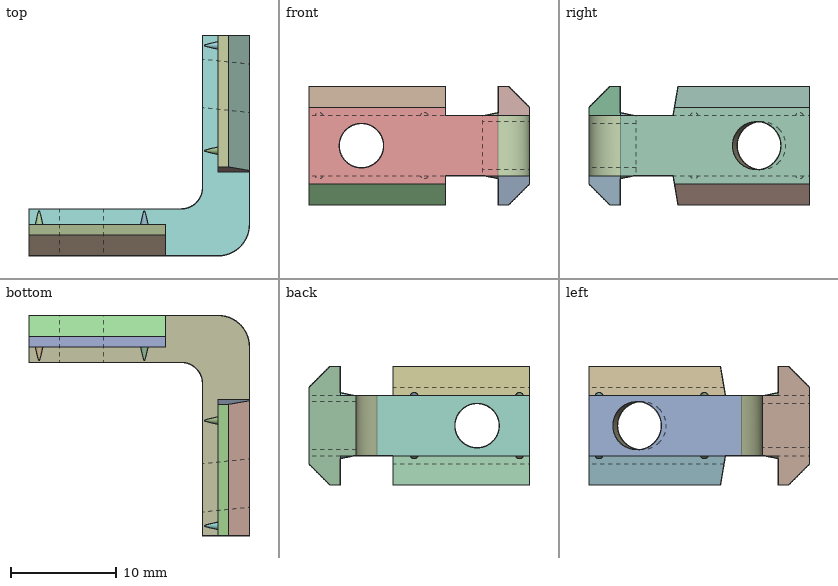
import cadquery as cq
import math

length = 21.0
height = 11.3
arm_thickness = 4.5
web_height = 5.75
inner_radius = 2.0
outer_radius = 3.0

flange_length = 13.0
flange_thickness = 3.0
flange_chamfer = 2.0
flange_draft_angle = 9.6

straight_hole_distance = 5.0
tilted_hole_distance = 5.05
straight_hole_diameter = 4.2
tilted_hole_diameter = 4.58
tilted_hole_shift = 0.46

tooth_radius = 0.38
tooth_tip_radius = 0.06
tooth_sink = 0.1
tooth_distances = (0.97, 10.98)

half_height = height / 2
half_web = web_height / 2
inner_x = length - arm_thickness
flange_step_x = length - flange_thickness
flange_end_y = length - flange_length


def make_web():
    """L-shaped plate with rounded inner and outer corners."""
    plate = (
        cq.Workplane("XY")
        .polyline([
            (0, 0), (length, 0), (length, length),
            (inner_x, length), (inner_x, arm_thickness), (0, arm_thickness),
        ])
        .close()
        .extrude(half_web, both=True)
    )
    plate = plate.edges(cq.NearestToPointSelector((inner_x, arm_thickness, 0))).fillet(inner_radius)
    return plate.edges(cq.NearestToPointSelector((length, 0, 0))).fillet(outer_radius)


def flange_profile(plane):
    """Chamfered section with its outer face at 0 and its inner face at flange_thickness."""
    chamfer_z = half_height - flange_chamfer
    return plane.polyline([
        (0, -chamfer_z), (flange_chamfer, -half_height), (flange_thickness, -half_height),
        (flange_thickness, half_height), (flange_chamfer, half_height), (0, chamfer_z),
    ]).close()


def make_x_flange():
    return flange_profile(cq.Workplane("YZ")).extrude(flange_length)


def make_y_flange():
    """Flange whose corner end leans back above and below the web."""
    end_plane = cq.Plane(origin=(length, length, 0), xDir=(-1, 0, 0), normal=(0, -1, 0))
    flange = flange_profile(cq.Workplane(end_plane)).extrude(flange_length)
    setback = (half_height - half_web) * math.tan(math.radians(flange_draft_angle))
    side_outline = (
        cq.Workplane("YZ", origin=(flange_step_x, 0, 0))
        .polyline([
            (length, -half_height), (flange_end_y + setback, -half_height),
            (flange_end_y, -half_web), (flange_end_y, half_web),
            (flange_end_y + setback, half_height), (length, half_height),
        ])
        .close()
        .extrude(flange_thickness)
    )
    return flange.intersect(side_outline)


def make_tooth(base, direction):
    tooth_length = arm_thickness - flange_thickness
    return cq.Workplane(
        cq.Solid.makeCone(
            tooth_radius, tooth_tip_radius, tooth_length, cq.Vector(*base), cq.Vector(*direction)
        )
    )


def make_straight_hole():
    return (
        cq.Workplane("XZ", origin=(straight_hole_distance, 0, 0))
        .circle(straight_hole_diameter / 2)
        .extrude(-arm_thickness)
    )


def make_tilted_hole():
    """Hole through the Y arm that leans towards the arm end at the inner face."""
    axis = cq.Vector(-arm_thickness, tilted_hole_shift, 0)
    outer_center = cq.Vector(length, length - tilted_hole_distance, 0)
    cutter_length = 3 * axis.Length
    return cq.Workplane(
        cq.Solid.makeCylinder(
            tilted_hole_diameter / 2, cutter_length, outer_center - axis, axis
        )
    )


result = make_web().union(make_x_flange()).union(make_y_flange())

tooth_axis_z = half_web - tooth_sink
for distance in tooth_distances:
    for z in (-tooth_axis_z, tooth_axis_z):
        result = result.union(make_tooth((distance, flange_thickness, z), (0, 1, 0)))
        result = result.union(make_tooth((flange_step_x, length - distance, z), (-1, 0, 0)))

result = result.cut(make_straight_hole()).cut(make_tilted_hole())